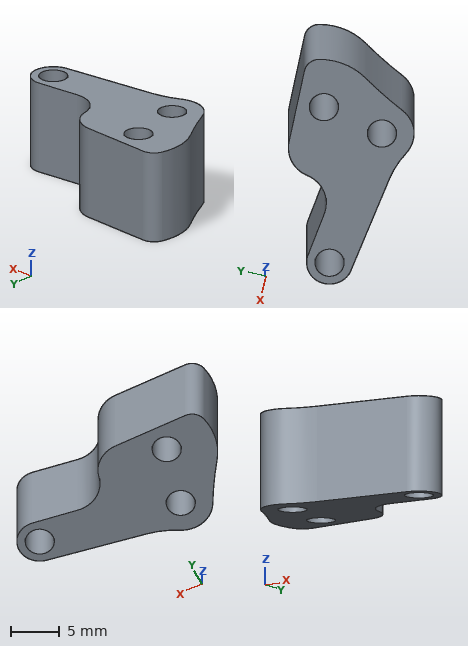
import cadquery as cq
import math

thickness = 10.0
hole_diameter = 3.0
upper_hole = (5.2, 9.78)
lower_hole = (6.7, 3.3)
arm_hole = (21.78, 5.35)

arm_radius = 2.37
lower_radius = 3.3
shoulder_center = (9.68, 9.1)
shoulder_radius = 3.3
corner_center = (1.7, 11.05)
corner_radius = 1.57
flank_radius = 6.52
flank_direction = -12.9

neck_radius = 3.33
neck_direction = 11.3
underside_radius = 10.0
underside_direction = -62.1
waist_radius = 41.05


def point_at(center, distance, angle):
    """Point at a distance from a center, in a direction given in degrees."""
    turn = math.radians(angle)
    return (center[0] + distance * math.cos(turn), center[1] + distance * math.sin(turn))


def direction(start, end):
    """Direction from one point to another, in degrees."""
    return math.degrees(math.atan2(end[1] - start[1], end[0] - start[0]))


def blend_beside(first, first_radius, second, second_radius, radius):
    """Center of a blend touching two rounds, to the right of the way from first to second."""
    gap = math.dist(first, second)
    to_first = first_radius + radius
    to_second = second_radius + radius
    cosine = (gap**2 + to_first**2 - to_second**2) / (2 * gap * to_first)
    return point_at(first, to_first, direction(first, second) - math.degrees(math.acos(cosine)))


def tangent_line(first, first_radius, second, second_radius):
    """Ends of the tangent line on a counterclockwise outline; concave radii are negative."""
    cosine = (first_radius - second_radius) / math.dist(first, second)
    normal = direction(first, second) - math.degrees(math.acos(cosine))
    return point_at(first, first_radius, normal), point_at(second, second_radius, normal)


def arc_to(outline, center, radius, end, concave=False):
    """Add an arc to the end point: counterclockwise, or clockwise when concave."""
    start = outline.val().endPoint().toTuple()
    start_angle = direction(center, start)
    sweep = (direction(center, end) - start_angle) % 360
    if concave:
        sweep -= 360
    return outline.threePointArc(point_at(center, radius, start_angle + sweep / 2), end)


flank_center = point_at(corner_center, flank_radius - corner_radius, flank_direction)
neck_center = point_at(shoulder_center, shoulder_radius + neck_radius, neck_direction)
underside_center = point_at(lower_hole, lower_radius + underside_radius, underside_direction)
waist_center = blend_beside(flank_center, flank_radius, lower_hole, lower_radius, waist_radius)

lower_end = point_at(lower_hole, lower_radius, underside_direction)
arm_bottom_start, arm_bottom_end = tangent_line(
    underside_center, -underside_radius, arm_hole, arm_radius
)
arm_top_start, arm_top_end = tangent_line(arm_hole, arm_radius, neck_center, -neck_radius)
neck_end = point_at(shoulder_center, shoulder_radius, neck_direction)
top_start, top_end = tangent_line(shoulder_center, shoulder_radius, corner_center, corner_radius)
flank_start = point_at(flank_center, flank_radius, flank_direction + 180)
flank_end = point_at(flank_center, flank_radius, direction(flank_center, waist_center))
lower_start = point_at(lower_hole, lower_radius, direction(lower_hole, waist_center))


def make_outline():
    lower_bottom = (lower_hole[0], lower_hole[1] - lower_radius)
    outline = cq.Workplane("XY").moveTo(*lower_start).threePointArc(lower_bottom, lower_end)
    outline = arc_to(outline, underside_center, underside_radius, arm_bottom_start, concave=True)
    outline = outline.lineTo(*arm_bottom_end)
    outline = arc_to(outline, arm_hole, arm_radius, arm_top_start)
    outline = outline.lineTo(*arm_top_end)
    outline = arc_to(outline, neck_center, neck_radius, neck_end, concave=True)
    outline = arc_to(outline, shoulder_center, shoulder_radius, top_start)
    outline = outline.lineTo(*top_end)
    outline = arc_to(outline, corner_center, corner_radius, flank_start)
    outline = arc_to(outline, flank_center, flank_radius, flank_end)
    outline = arc_to(outline, waist_center, waist_radius, lower_start, concave=True)
    return outline.close()


def make_holes():
    holes = cq.Workplane("XY").pushPoints([upper_hole, lower_hole, arm_hole])
    return holes.circle(hole_diameter / 2).extrude(thickness)


result = make_outline().extrude(thickness).cut(make_holes())